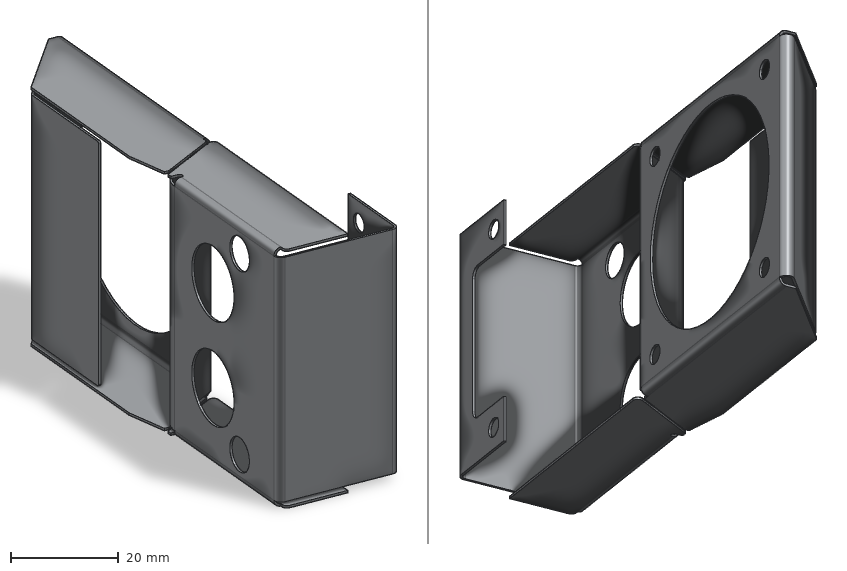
import cadquery as cq
import math

sheet = 0.5
inner_bend_radius = 1.0
bend_radius = inner_bend_radius + sheet
wide_bend_radius = 5.7

length = 102.8
depth = 28.4
strip_width = 50.0
back_face_y = 17.2
front_face_y = 2.1
lip_end_x = 41.9
lip_corner_radius = 0.4
nose_angle = 40.0
step_angle = 60.0
front_bend_x = 65.7
tab_end_x = 85.2

fan_center_x = 27.6
fan_hole_diameter = 44.6
screw_pitch = 41.1
screw_hole_diameter = 3.8
port_x = 79.4
port_pitch = 21.5
port_diameter = 15.1
tab_screw_x = 89.0
access_hole_diameter = 7.0
tab_notch_end_x = 96.9
tab_notch_height = 31.5
tab_notch_radius = 2.0
cut_clearance = 0.2

left_flange_bend = (bend_radius, 53.5)
right_flange_bend = (front_bend_x, length - bend_radius)
left_flange_nose_x = 17.8
left_flange_ramp_x = 52.9
left_flange_tip = (62.1, 3.1)
flange_gap = 0.6
relief_width = 1.2
corner_radius = 1.0


def bent_strip(corners, radii):
    """Closed outline of a sheet whose mid-line follows the corners, with a mid-line radius at each fold."""
    half = sheet / 2
    sides = {half: [], -half: []}

    def offset(point, heading, distance):
        return (point[0] - distance * math.sin(heading), point[1] + distance * math.cos(heading))

    headings = [math.atan2(b[1] - a[1], b[0] - a[0]) for a, b in zip(corners, corners[1:])]
    folds = list(zip(corners[1:-1], headings, headings[1:], radii))
    for side, arcs in sides.items():
        for corner, before, after, radius in folds:
            turn = math.remainder(after - before, 2 * math.pi)
            setback = radius * math.tan(abs(turn) / 2)
            start = (corner[0] - setback * math.cos(before), corner[1] - setback * math.sin(before))
            end = (corner[0] + setback * math.cos(after), corner[1] + setback * math.sin(after))
            center = offset(start, before, math.copysign(radius, turn))
            middle = offset(center, before + turn / 2, side - math.copysign(radius, turn))
            arcs.append((offset(start, before, side), middle, offset(end, after, side)))

    outline = cq.Workplane("XY").moveTo(*offset(corners[0], headings[0], half))
    for start, middle, end in sides[half]:
        outline = outline.lineTo(*start).threePointArc(middle, end)
    outline = outline.lineTo(*offset(corners[-1], headings[-1], half))
    outline = outline.lineTo(*offset(corners[-1], headings[-1], -half))
    for start, middle, end in reversed(sides[-half]):
        outline = outline.lineTo(*end).threePointArc(middle, start)
    return outline.lineTo(*offset(corners[0], headings[0], -half)).close()


def folded_strip():
    mid_radius = bend_radius - sheet / 2
    wide_mid_radius = wide_bend_radius - sheet / 2
    lip_y = sheet / 2
    back_y = back_face_y - sheet / 2
    front_y = front_face_y + sheet / 2
    end_x = length - sheet / 2
    tab_y = depth - sheet / 2

    nose = math.radians(nose_angle)
    nose_x = bend_radius - mid_radius / math.tan(nose / 2)
    lip_bend_x = nose_x + (back_y - lip_y) / math.tan(nose)
    step = math.radians(step_angle)
    step_front_x = front_bend_x - wide_mid_radius * math.tan(step / 2)
    step_back_x = step_front_x - (back_y - front_y) / math.tan(step)

    corners = [
        (lip_end_x, lip_y),
        (lip_bend_x, lip_y),
        (nose_x, back_y),
        (step_back_x, back_y),
        (step_front_x, front_y),
        (end_x, front_y),
        (end_x, tab_y),
        (tab_end_x, tab_y),
    ]
    radii = [mid_radius, mid_radius, mid_radius, wide_mid_radius, mid_radius, mid_radius]
    strip = bent_strip(corners, radii).extrude(strip_width / 2, both=True)
    for z in (-strip_width / 2, strip_width / 2):
        lip_corner = cq.NearestToPointSelector((lip_end_x, lip_y, z))
        strip = strip.edges("|Y").edges(lip_corner).fillet(lip_corner_radius)
    return strip


def left_flange_plate():
    bend_y = back_face_y - bend_radius
    bend_start_x = left_flange_bend[0]
    nose_edge_y = (left_flange_nose_x - bend_start_x) * math.tan(math.radians(nose_angle))
    tip_x, tip_y = left_flange_tip
    slit_run = (bend_y - tip_y) / math.tan(math.radians(step_angle))
    outline = [
        (bend_start_x, bend_y),
        (bend_start_x, nose_edge_y),
        (left_flange_nose_x, 0),
        (left_flange_ramp_x, 0),
        (tip_x, front_face_y),
        (tip_x, tip_y),
        (tip_x - slit_run, bend_y),
    ]
    return cq.Workplane("XY").polyline(outline).close().extrude(sheet)


def right_flange_plate():
    bend_y = front_face_y + bend_radius
    bend_start_x, bend_end_x = right_flange_bend
    relief_x = bend_start_x - relief_width
    relief_top = (bend_start_x - relief_width / 2, bend_y + relief_width / 2)
    step = math.radians(step_angle)
    tip_x, tip_y = left_flange_tip
    slit_front_x = tip_x + (tip_y - front_face_y) / math.tan(step) + flange_gap / math.sin(step)
    slit_back_x = slit_front_x - (back_face_y - front_face_y) / math.tan(step)
    plate = (
        cq.Workplane("XY")
        .moveTo(slit_front_x, front_face_y)
        .lineTo(relief_x, front_face_y)
        .lineTo(relief_x, bend_y)
        .threePointArc(relief_top, (bend_start_x, bend_y))
        .lineTo(bend_end_x, bend_y)
        .lineTo(length, bend_y)
        .lineTo(length, back_face_y)
        .lineTo(slit_back_x, back_face_y)
        .close()
        .extrude(sheet)
    )
    for x, y in [(slit_back_x, back_face_y), (length, bend_y)]:
        corner = cq.NearestToPointSelector((x, y, sheet / 2))
        plate = plate.edges("|Z").edges(corner).fillet(corner_radius)
    return plate


def flange_fold(extent, center_y, side):
    """Quarter-round fold of an upper flange; side is +1 for a rear panel and -1 for a front panel."""
    start_x, end_x = extent
    diagonal = math.sqrt(0.5)
    return (
        cq.Workplane("YZ", origin=(start_x, center_y, strip_width / 2))
        .moveTo(side * inner_bend_radius, 0)
        .lineTo(side * bend_radius, 0)
        .threePointArc((side * bend_radius * diagonal, bend_radius * diagonal), (0, bend_radius))
        .lineTo(0, inner_bend_radius)
        .threePointArc(
            (side * inner_bend_radius * diagonal, inner_bend_radius * diagonal),
            (side * inner_bend_radius, 0),
        )
        .close()
        .extrude(end_x - start_x)
    )


def side_flanges():
    """Left and right flange on the upper edge, and their mirror images on the lower edge."""
    plate_z = strip_width / 2 + inner_bend_radius
    upper = [
        left_flange_plate().translate((0, 0, plate_z)),
        flange_fold(left_flange_bend, back_face_y - bend_radius, 1),
        right_flange_plate().translate((0, 0, plate_z)),
        flange_fold(right_flange_bend, front_face_y + bend_radius, -1),
    ]
    return upper + [part.mirror("XY") for part in upper]


def panel_holes(points, diameter, outer_y):
    """Round cutters along Y at (x, z) points, through the panel whose front face is at outer_y."""
    return (
        cq.Workplane("XZ", origin=(0, outer_y + sheet + cut_clearance, 0))
        .pushPoints(points)
        .circle(diameter / 2)
        .extrude(sheet + 2 * cut_clearance)
    )


def mirrored_pair(x, pitch):
    return [(x, -pitch / 2), (x, pitch / 2)]


def openings():
    back_y = back_face_y - sheet
    tab_y = depth - sheet
    fan_screws = [
        point
        for x in (fan_center_x - screw_pitch / 2, fan_center_x + screw_pitch / 2)
        for point in mirrored_pair(x, screw_pitch)
    ]
    tab_screws = mirrored_pair(tab_screw_x, screw_pitch)
    return [
        panel_holes([(fan_center_x, 0)], fan_hole_diameter, back_y),
        panel_holes(fan_screws, screw_hole_diameter, back_y),
        panel_holes(mirrored_pair(port_x, port_pitch), port_diameter, front_face_y),
        panel_holes(tab_screws, access_hole_diameter, front_face_y),
        panel_holes(tab_screws, screw_hole_diameter, tab_y),
    ]


def tab_notch():
    """Notch that splits the tab into two ears, rounded in its inner corners."""
    depth_x = tab_notch_end_x - tab_end_x
    return (
        cq.Workplane("XY")
        .box(2 * depth_x, 2 * sheet, tab_notch_height)
        .edges("|Y")
        .fillet(tab_notch_radius)
        .translate((tab_end_x, depth - sheet / 2, 0))
    )


result = folded_strip()
for flange_part in side_flanges():
    result = result.union(flange_part)
for cutter in openings() + [tab_notch()]:
    result = result.cut(cutter)